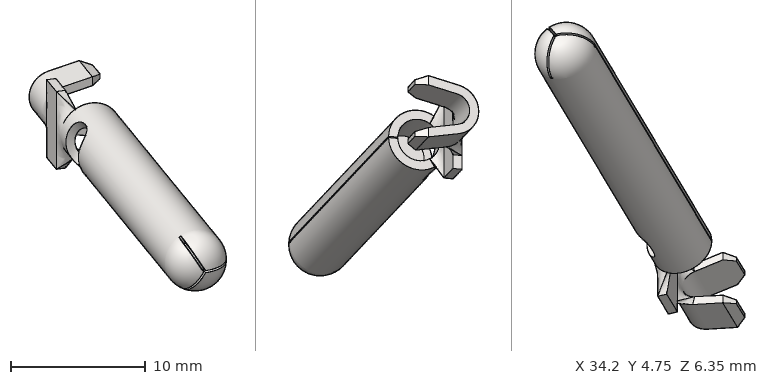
import cadquery as cq
import math

total_length = 34.25
total_depth = 4.75
sheet = 0.72

barrel_diameter = 4.7
barrel_radius = barrel_diameter / 2
bottom = -barrel_radius
bore_radius = barrel_radius - sheet
barrel_start = 7.43
dome_start = total_length - barrel_radius
core_start = 11.3
seam_width = 0.1
dome_slit_width = 0.17
petal_count = 3

window_center = 10.17
window_half_length = 1.5
window_end = 11.57
window_half_angle = 55.5

crimp_length = 3.1
crimp_radius = 1.95
crimp_center = bottom + crimp_radius
wing_lean = 12.0
wing_length = 2.43
wing_top = bottom + total_depth
tip_outer_z = 2.23
tip_corner_length = 0.7
tip_corner_height = 0.82

plate_start = 4.15
plate_end = 6.4
plate_width = 6.35
plate_half_width = plate_width / 2
crimp_neck_half_width = 2.1
barrel_neck_angle = 31.7


def polar(center_y, radius, angle):
    """Point (Y, Z) at an angle in degrees below the horizontal plane, on the +Z side."""
    a = math.radians(angle)
    return center_y - radius * math.sin(a), radius * math.cos(a)


def mirrored(point):
    return point[0], -point[1]


def trough_half_section(x, center_y, radius, end_angle):
    """The +Z half of an open arc of sheet, ending at the given angle below its center."""
    inner_radius = radius - sheet
    middle_angle = (90 + end_angle) / 2
    return (
        cq.Workplane("YZ", origin=(x, 0, 0))
        .moveTo(center_y - radius, 0)
        .threePointArc(polar(center_y, radius, middle_angle), polar(center_y, radius, end_angle))
        .lineTo(*polar(center_y, inner_radius, end_angle))
        .threePointArc(
            polar(center_y, inner_radius, middle_angle),
            (center_y - inner_radius, 0),
        )
        .close()
        .val()
    )


def flat_half_section(x, half_width):
    """The +Z half of a flat strip of sheet lying on the bottom."""
    return (
        cq.Workplane("YZ", origin=(x, 0, 0))
        .polyline([
            (bottom, 0),
            (bottom, half_width),
            (bottom + sheet, half_width),
            (bottom + sheet, 0),
        ])
        .close()
        .val()
    )


def make_neck(first_half_section, second_half_section):
    """Sheet blending from one section to the other, made as two mirrored halves."""
    half = cq.Workplane(cq.Solid.makeLoft([first_half_section, second_half_section], True))
    return half.union(half.mirror("XY"))


def make_crimp():
    """U-shaped crimp with leaning wings that thin toward their tips from the outside."""
    lean = math.radians(wing_lean)
    rise = wing_length * math.cos(lean)
    spread = wing_length * math.sin(lean)
    outer_foot = polar(crimp_center, crimp_radius, wing_lean)
    inner_foot = polar(crimp_center, crimp_radius - sheet, wing_lean)
    outer_base = (outer_foot[0] + rise, outer_foot[1] + spread)
    outer_tip = (wing_top, tip_outer_z)
    inner_tip = (wing_top, inner_foot[1] + (wing_top - inner_foot[0]) * math.tan(lean))
    crimp = (
        cq.Workplane("YZ")
        .moveTo(*outer_foot)
        .threePointArc((bottom, 0), mirrored(outer_foot))
        .lineTo(*mirrored(outer_base))
        .lineTo(*mirrored(outer_tip))
        .lineTo(*mirrored(inner_tip))
        .lineTo(*mirrored(inner_foot))
        .threePointArc((bottom + sheet, 0), inner_foot)
        .lineTo(*inner_tip)
        .lineTo(*outer_tip)
        .lineTo(*outer_base)
        .close()
        .extrude(crimp_length)
    )
    for end, inward in ((0, 1), (crimp_length, -1)):
        corner = (
            cq.Workplane("XY")
            .polyline([
                (end, wing_top - tip_corner_height),
                (end, wing_top),
                (end + inward * tip_corner_length, wing_top),
            ])
            .close()
            .extrude(plate_width, both=True)
        )
        crimp = crimp.cut(corner)
    return crimp


def make_window_cutter():
    """Oval opening, cut off square at its +X end, whose walls point at the barrel axis."""
    def oval(depth):
        half_height = depth * math.tan(math.radians(window_half_angle))
        return (
            cq.Workplane("XZ", origin=(window_center, -depth, 0))
            .ellipse(window_half_length, half_height)
            .val()
        )

    near_axis = bore_radius / 4
    cutter = cq.Workplane(cq.Solid.makeLoft([oval(barrel_radius), oval(near_axis)], True))
    square_end = (
        cq.Workplane("YZ", origin=(window_end, 0, 0))
        .rect(2 * barrel_diameter, 2 * barrel_diameter)
        .extrude(window_half_length)
    )
    return cutter.cut(square_end)


def make_barrel():
    """Rolled tube with its lengthwise seam at +Y and its window at -Y."""
    tube = (
        cq.Workplane("YZ", origin=(barrel_start, 0, 0))
        .circle(barrel_radius)
        .circle(bore_radius)
        .extrude(dome_start - barrel_start)
    )
    seam = (
        cq.Workplane("XY", origin=(barrel_start, 0, 0))
        .box(dome_start - barrel_start, barrel_radius, seam_width, centered=(False, False, True))
    )
    return tube.cut(seam).cut(make_window_cutter())


def make_dome():
    """Half ball split into petals down to the surface of the core."""
    center = (dome_start, 0, 0)
    front_half = cq.Workplane("YZ", origin=center).circle(barrel_radius).extrude(barrel_radius)
    ball = cq.Workplane("XY", origin=center).sphere(barrel_radius).intersect(front_half)
    for petal in range(petal_count):
        slit = (
            cq.Workplane("XY")
            .box(barrel_radius, barrel_radius, dome_slit_width, centered=(False, False, True))
            .rotate((0, 0, 0), (1, 0, 0), petal * 360 / petal_count)
            .translate(center)
        )
        ball = ball.cut(slit)
    core_tip = cq.Workplane("XY", origin=center).sphere(bore_radius)
    return ball.union(core_tip)


def make_core():
    """Rod that fills the bore from just inside the window's +X end to the dome."""
    return (
        cq.Workplane("YZ", origin=(core_start, 0, 0))
        .circle(bore_radius)
        .extrude(dome_start - core_start)
    )


plate = (
    cq.Workplane("XY", origin=(plate_start, bottom, 0))
    .box(plate_end - plate_start, sheet, plate_width, centered=(False, False, True))
)

crimp_neck = make_neck(
    flat_half_section(plate_start, crimp_neck_half_width),
    trough_half_section(crimp_length, crimp_center, crimp_radius, wing_lean),
)
barrel_neck = make_neck(
    flat_half_section(plate_end, plate_half_width),
    trough_half_section(barrel_start, 0, barrel_radius, barrel_neck_angle),
)

result = (
    make_crimp()
    .union(crimp_neck)
    .union(plate)
    .union(barrel_neck)
    .union(make_barrel())
    .union(make_core())
    .union(make_dome())
)